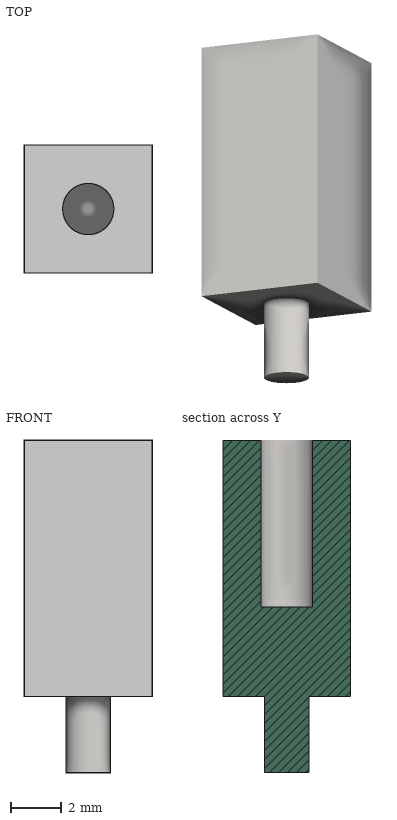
import cadquery as cq

total_height = 13.21
body_width = 5.09
body_height = 10.18
pin_diameter = 1.78
socket_diameter = 2.03
socket_depth = 6.6

pin_length = total_height - body_height

body = cq.Workplane("XY").box(body_width, body_width, body_height, centered=(True, True, False))

body = body.faces(">Z").workplane().hole(socket_diameter, socket_depth)

pin = cq.Workplane("XY").circle(pin_diameter / 2).extrude(-pin_length)

result = body.union(pin)